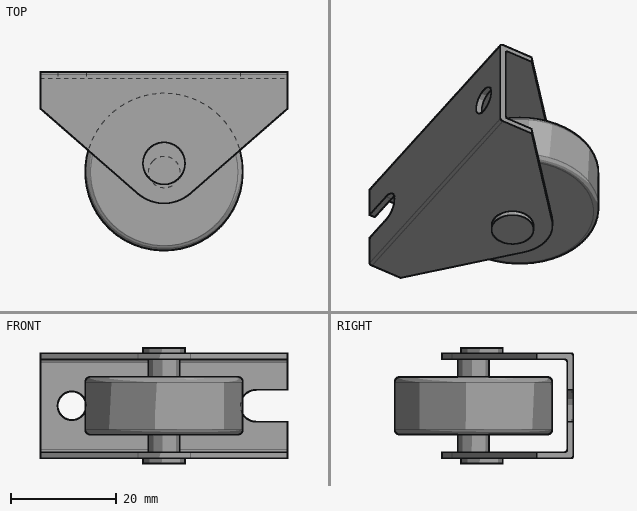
import math
import cadquery as cq

bracket_length = 47.0
bracket_height = 20.0
sheet_thickness = 1.2
bend_outer_radius = 0.5
bend_inner_radius = 0.5
flank_depth = 7.0
flange_depth = 25.0
nose_radius = 7.6

hole_diameter = 5.4
hole_inset = 6.0
slot_width = 6.0
slot_inset = 6.0

wheel_diameter = 30.0
wheel_width = 11.0
wheel_edge_radius = 1.0
wheel_setback = 19.0
shaft_diameter = 6.0
head_diameter = 8.0
head_thickness = 1.0

back_y = wheel_setback
nose_y = back_y - flange_depth + nose_radius
half_length = bracket_length / 2
half_height = bracket_height / 2


def flange_outline():
    """Flange plan: a straight-ended back tapering to a tangent round nose."""
    corner_y = back_y - flank_depth
    drop = corner_y - nose_y
    reach = math.hypot(half_length, drop)
    tangent_angle = math.atan2(drop, half_length) - math.acos(nose_radius / reach)
    tangent_x = nose_radius * math.cos(tangent_angle)
    tangent_y = nose_y + nose_radius * math.sin(tangent_angle)
    return (
        cq.Workplane("XY")
        .workplane(offset=-half_height)
        .moveTo(-half_length, back_y)
        .lineTo(half_length, back_y)
        .lineTo(half_length, corner_y)
        .lineTo(tangent_x, tangent_y)
        .threePointArc((0, nose_y - nose_radius), (-tangent_x, tangent_y))
        .lineTo(-half_length, corner_y)
        .close()
    )


def make_channel():
    """Bent sheet: the flange plan at full height, hollowed out between the flanges."""
    block = flange_outline().extrude(bracket_height)
    block = block.edges("|X and >Y").fillet(bend_outer_radius)
    inner_back_y = back_y - sheet_thickness
    cavity = (
        cq.Workplane("XY")
        .box(bracket_length, flange_depth, bracket_height - 2 * sheet_thickness)
        .translate((0, inner_back_y - flange_depth / 2, 0))
        .edges("|X and >Y")
        .fillet(bend_inner_radius)
    )
    return block.cut(cavity)


def make_mounting_openings():
    """Round hole at the left end and open-ended slot at the right end of the back wall."""
    slot_x = half_length - slot_inset
    wall = cq.Workplane("XZ", origin=(0, back_y, 0))
    hole = wall.center(hole_inset - half_length, 0).circle(hole_diameter / 2).extrude(sheet_thickness)
    slot_round = wall.center(slot_x, 0).circle(slot_width / 2).extrude(sheet_thickness)
    slot_mouth = (
        wall.center(slot_x + slot_inset / 2, 0).rect(slot_inset, slot_width).extrude(sheet_thickness)
    )
    return hole.union(slot_round).union(slot_mouth)


def make_disc(diameter, thickness, bottom_z, centre_y=0.0):
    """Vertical cylinder standing on bottom_z."""
    return cq.Workplane("XY", origin=(0, centre_y, bottom_z)).circle(diameter / 2).extrude(thickness)


def make_wheel():
    """Wheel with rounded rims, together with the shaft that spans the flanges."""
    wheel = make_disc(wheel_diameter, wheel_width, -wheel_width / 2)
    wheel = wheel.edges("%CIRCLE").fillet(wheel_edge_radius)
    shaft_length = bracket_height - sheet_thickness
    return wheel.union(make_disc(shaft_diameter, shaft_length, -shaft_length / 2))


def make_heads():
    """Axle heads on the outer faces of both flanges, centred on the nose."""
    upper = make_disc(head_diameter, head_thickness, half_height, nose_y)
    lower = make_disc(head_diameter, head_thickness, -half_height - head_thickness, nose_y)
    return upper.union(lower)


bracket = make_channel().cut(make_mounting_openings())
result = bracket.union(make_wheel()).union(make_heads())